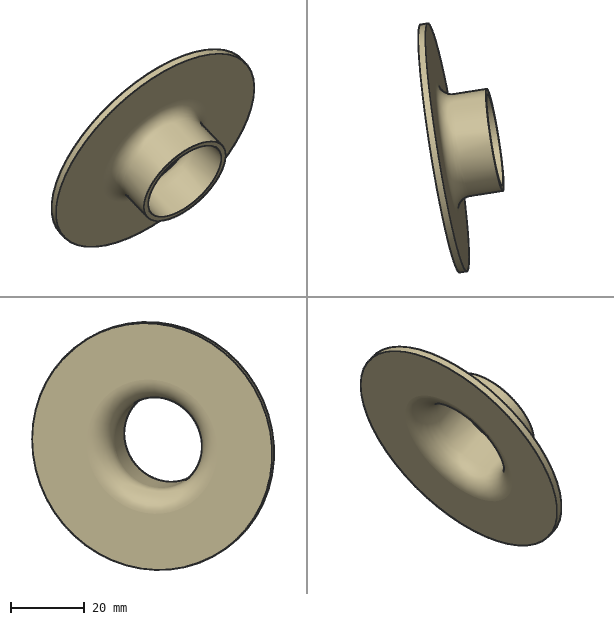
import cadquery as cq

flange_diameter = 68.0
flange_thickness = 2.0
neck_outer_diameter = 28.0
bore_diameter = 25.0
total_length = 15.0
mouth_radius = 6.0

flange_radius = flange_diameter / 2
neck_radius = neck_outer_diameter / 2
bore_radius = bore_diameter / 2

root_radius = mouth_radius - flange_thickness


def flange_and_neck():
    """Half section in the XY plane, revolved about the X axis."""
    section = (
        cq.Workplane("XY")
        .moveTo(0, bore_radius + mouth_radius)
        .lineTo(0, flange_radius)
        .lineTo(flange_thickness, flange_radius)
        .lineTo(flange_thickness, neck_radius + root_radius)
        .radiusArc((mouth_radius, neck_radius), -root_radius)
        .lineTo(total_length, neck_radius)
        .lineTo(total_length, bore_radius)
        .lineTo(mouth_radius, bore_radius)
        .radiusArc((0, bore_radius + mouth_radius), mouth_radius)
        .close()
    )
    return section.revolve(360, (0, 0, 0), (1, 0, 0))


result = flange_and_neck()